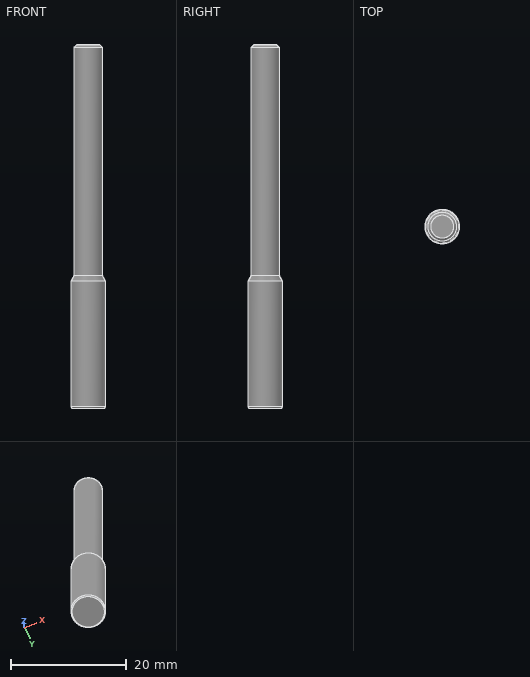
import cadquery as cq

total_length = 63.0
rod_diameter = 5.0
handle_diameter = 6.0
handle_length = 23.0
tip_chamfer = 0.5
shoulder_height = 0.95
base_chamfer_width = 0.2
base_chamfer_height = 0.3

rod_radius = rod_diameter / 2
handle_radius = handle_diameter / 2


def revolve_profile(points):
    """Turn a closed (radius, height) outline about the Z axis."""
    return cq.Workplane("XZ").polyline(points).close().revolve(360, (0, 0, 0), (0, 1, 0))


def make_handle():
    """Thick lower cylinder, tapering at the top to meet the rod's diameter."""
    return revolve_profile([
        (0, 0),
        (handle_radius - base_chamfer_width, 0),
        (handle_radius, base_chamfer_height),
        (handle_radius, handle_length - shoulder_height),
        (rod_radius, handle_length),
        (0, handle_length),
    ])


def make_rod():
    """Slim upper cylinder standing on the handle, with a chamfered tip."""
    return revolve_profile([
        (0, handle_length),
        (rod_radius, handle_length),
        (rod_radius, total_length - tip_chamfer),
        (rod_radius - tip_chamfer, total_length),
        (0, total_length),
    ])


handle = make_handle()
rod = make_rod()

result = cq.Compound.makeCompound([handle.val(), rod.val()])